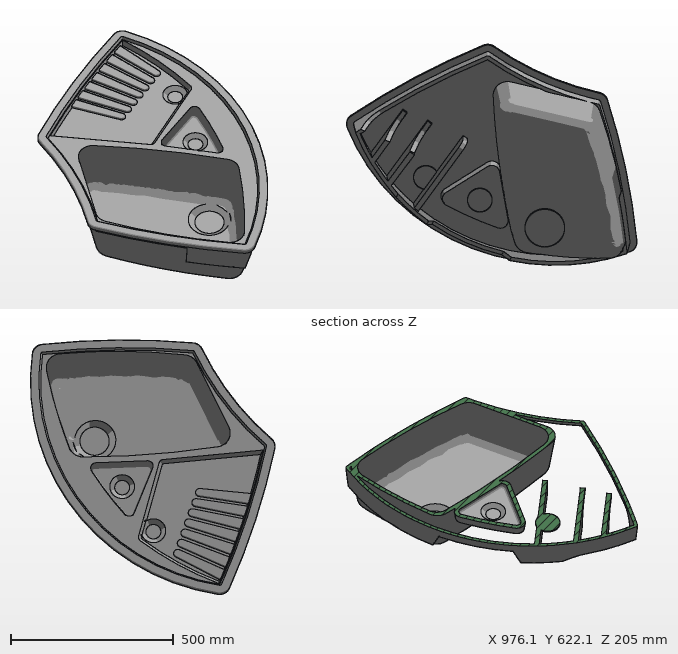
import cadquery as cq
import math


rim_half_width = 496.2
rim_side_y = 99.0
rim_front_half_width = 197.0
rim_front_y = -313.9
rim_back_rise = 212.5
rim_side_bulge = 14.0
rim_front_bulge = -22.0
rim_corner_radius = 33.0
rim_thickness = 13.0
rim_edge_radius = 5.0
rim_width = 26.0

deck_depth = 8.0
deck_taper = 35.0
deck_underside = -34.0
deck_overlap = 1.0

skirt_inset = 20.0
skirt_wall = 12.0
skirt_taper = 5.0
front_skirt_z = -46.0
left_skirt_z = -98.0
deep_skirt_z = -118.0
back_skirt_z = -64.0
left_skirt_x = -330.0
deep_skirt_x = -262.0
deep_skirt_end_x = 140.0
back_skirt_start_x = 118.0
ramp_top_y = 11.0
ramp_bottom_y = 78.0
left_part_end_x = 125.0
right_foot_end_y = -60.0

rib_width = 16.0
short_rib_xs = (-344.0, -260.0)
long_rib_x = -140.0
rib_angle = 10.0
long_rib_z = -92.0
rib_end_y = -15.0
long_rib_end_radius = 24.0

tray_floor_z = -20.0
tray_taper = 25.0
tray_edge_taper = 40.0
tray_margin = 8.0
tray_corner_radius = 14.0
tray_corners = [(-470, 84), (-190, 210), (-28, 5), (-196, -275), (-420, -275), (-540, 60)]
tray_bulges = [12.0, 0.0, 0.0, 0.0, 0.0, 0.0]

slat_count = 7
slat_height = 5.0
slat_taper = 25.0
slat_edge_radius = 1.5
slat_root_width = 36.0
slat_tip_width = 26.0
slat_first_line = ((-440.0, 65.0), (-298.0, 137.0))
slat_last_line = ((-305.0, -160.0), (-182.0, -33.0))

small_corners = [(-133, 193), (100, 193), (-22, 14)]
small_bulges = [6.0, 0.0, 0.0]
small_corner_radius = 18.0
small_floor_z = -50.0
small_taper = 8.0
small_floor_radius = 7.0

bowl_corners = [(138, 214), (453, 93), (178, -276), (-129, -217)]
bowl_bulges = [10.0, 14.0, 0.0, 12.0]
bowl_corner_radius = 45.0
bowl_taper = 5.0
bowl_floor_radius = 35.0
bowl_bottom_z = -198.0
bowl_slope_x = 0.8
bowl_slope_y = 0.9
bowl_wall = 13.5

waste_depth = 11.0
waste_floor = 8.0
waste_clearance = 2.0
small_waste_radius = 38.0
small_waste_floor_radius = 23.0
tray_waste_center = (-195.0, 154.0)
small_bowl_waste_center = (-18.0, 142.0)
bowl_waste_center = (182.0, 99.0)
bowl_waste_radius = 63.0
bowl_waste_floor_radius = 45.0
bowl_waste_ring_radius = 61.0
overall_height = 205.02

span = 1200.0


def sharp_outline(corners, bulges):
    """Closed wire through clockwise corners; a bulge is the outward rise of a side."""
    edges = []
    for i, start in enumerate(corners):
        a = cq.Vector(*start)
        b = cq.Vector(*corners[(i + 1) % len(corners)])
        if bulges[i] == 0:
            edges.append(cq.Edge.makeLine(a, b))
            continue
        side = b - a
        outward = cq.Vector(-side.y, side.x).normalized()
        edges.append(cq.Edge.makeThreePointArc(a, (a + b) * 0.5 + outward * bulges[i], b))
    return cq.Wire.assembleEdges(edges)


def outline(corners, bulges, radius):
    wire = sharp_outline(corners, bulges)
    return wire.fillet2D(radius, wire.Vertices())


def inset(wire, distance):
    return wire.offset2D(-distance)[0]


def prism(wire, top, bottom, taper=0.0):
    """Solid between two heights; it narrows downwards by the taper angle."""
    placed = cq.Workplane().add(wire.moved(cq.Location(cq.Vector(0, 0, top)))).toPending()
    return placed.extrude(bottom - top, taper=taper)


rim_outline = outline(
    [
        (-rim_half_width, rim_side_y),
        (rim_half_width, rim_side_y),
        (rim_front_half_width, rim_front_y),
        (-rim_front_half_width, rim_front_y),
    ],
    [rim_back_rise, rim_side_bulge, rim_front_bulge, rim_side_bulge],
    rim_corner_radius,
)
deck_outline = inset(rim_outline, rim_width)
skirt_outline = inset(rim_outline, skirt_inset)
small_outline = outline(small_corners, small_bulges, small_corner_radius)


def rib(x, bottom_z):
    return (
        cq.Workplane()
        .center(x, rib_end_y)
        .rect(rib_width, span, centered=(True, False))
        .extrude(bottom_z)
        .rotate((x, rib_end_y, 0), (x, rib_end_y, 1), rib_angle)
    )


def long_rib():
    plate = rib(long_rib_x, long_rib_z)
    return plate.faces("<Y").edges("<Z").fillet(long_rib_end_radius)


def skirt_profile_across():
    """Everything above the lower edge of the skirt, as it runs from left to right."""
    return (
        cq.Workplane("XZ", origin=(0, span / 2, 0))
        .moveTo(-span / 2, 0)
        .lineTo(-span / 2, left_skirt_z)
        .lineTo(left_skirt_x, left_skirt_z)
        .spline([(deep_skirt_x, deep_skirt_z)], tangents=[(1, 0), (1, -0.4)], includeCurrent=True)
        .lineTo(-deep_skirt_end_x, deep_skirt_z)
        .lineTo(-back_skirt_start_x, back_skirt_z)
        .lineTo(back_skirt_start_x, back_skirt_z)
        .lineTo(deep_skirt_end_x, deep_skirt_z)
        .lineTo(span / 2, deep_skirt_z)
        .lineTo(span / 2, 0)
        .close()
        .extrude(span)
    )


def skirt_profile_along():
    """Everything above the lower edge of the skirt, as it runs from front to back."""
    left_part = (
        cq.Workplane("YZ", origin=(-span / 2, 0, 0))
        .moveTo(-span / 2, 0)
        .lineTo(-span / 2, front_skirt_z)
        .lineTo(ramp_top_y, front_skirt_z)
        .spline([(ramp_bottom_y, left_skirt_z)], tangents=[(1, 0), (0.6, -1)], includeCurrent=True)
        .lineTo(ramp_bottom_y, deep_skirt_z)
        .lineTo(span / 2, deep_skirt_z)
        .lineTo(span / 2, 0)
        .close()
        .extrude(span / 2 + left_part_end_x)
    )
    right_foot = (
        cq.Workplane(origin=(left_part_end_x, right_foot_end_y, 0))
        .rect(span, span, centered=False)
        .extrude(deep_skirt_z)
    )
    right_front = (
        cq.Workplane(origin=(left_part_end_x, -span / 2, 0))
        .rect(span, span, centered=False)
        .extrude(front_skirt_z)
    )
    return left_part.union(right_foot.union(right_front))


def skirt():
    """Wall under the rim with deep feet at the back corners, and the ribs inside it."""
    body = prism(skirt_outline, 0, deep_skirt_z, skirt_taper)
    cavity = prism(inset(skirt_outline, skirt_wall), 0, deep_skirt_z, skirt_taper)
    walls = body.cut(cavity)
    for x in short_rib_xs:
        walls = walls.union(rib(x, deep_skirt_z).intersect(body))
    walls = walls.intersect(skirt_profile_across()).intersect(skirt_profile_along())
    return walls.union(long_rib().intersect(body))


def bowl(grow, raise_floor):
    """Tapered bowl volume on a floor that slopes towards the waste."""
    sharp = sharp_outline(bowl_corners, bowl_bulges)
    if grow:
        sharp = sharp.offset2D(grow, "intersection")[0]
    above_floor = (
        cq.Workplane()
        .box(span, span, span, centered=(True, True, False))
        .rotate((0, 0, 0), (0, 1, 0), bowl_slope_x)
        .rotate((0, 0, 0), (1, 0, 0), -bowl_slope_y)
        .translate((*bowl_waste_center, bowl_bottom_z + raise_floor))
    )
    column = prism(sharp, 0, -overall_height, bowl_taper)
    upright_edges = [edge for edge in column.edges().vals() if abs(edge.tangentAt(0.5).z) > 0.5]
    column = column.newObject(upright_edges).fillet(bowl_corner_radius)
    return column.intersect(above_floor).faces("<Z").edges().fillet(bowl_floor_radius)


def small_bowl():
    volume = prism(small_outline, 0, small_floor_z, small_taper)
    return volume.faces("<Z").edges().fillet(small_floor_radius)


def tray():
    area = prism(
        outline(tray_corners, tray_bulges, tray_corner_radius),
        -deck_depth,
        tray_floor_z,
        tray_edge_taper,
    )
    limit = prism(inset(deck_outline, tray_margin), -deck_depth, tray_floor_z, tray_taper)
    return area.intersect(limit)


def between(a, b, t):
    return cq.Vector(*a) * (1 - t) + cq.Vector(*b) * t


def slat(root, tip):
    """Raised slat that narrows from its root to a round tip."""
    along = (tip - root).normalized()
    across = cq.Vector(-along.y, along.x)
    root_side = across * (slat_root_width / 2)
    tip_side = across * (slat_tip_width / 2)
    root_left = root + root_side
    root_right = root - root_side
    tip_left = tip + tip_side
    tip_right = tip - tip_side
    tip_end = tip + along * (slat_tip_width / 2)
    return (
        cq.Workplane(origin=(0, 0, tray_floor_z))
        .moveTo(root_left.x, root_left.y)
        .lineTo(tip_left.x, tip_left.y)
        .threePointArc((tip_end.x, tip_end.y), (tip_right.x, tip_right.y))
        .lineTo(root_right.x, root_right.y)
        .close()
        .extrude(slat_height, taper=slat_taper)
    )


def slats():
    """Fan of slats on the floor of the tray."""
    fan = cq.Workplane()
    for i in range(slat_count):
        t = i / (slat_count - 1)
        root = between(slat_first_line[0], slat_last_line[0], t)
        tip = between(slat_first_line[1], slat_last_line[1], t)
        fan = fan.add(slat(root, tip))
    return fan.combine().faces(">Z").edges().fillet(slat_edge_radius)


def waste_seat(center, floor_z, radius, floor_radius):
    widening = (radius - floor_radius) / waste_depth
    height = waste_depth + waste_clearance
    seat = cq.Solid.makeCone(floor_radius, floor_radius + widening * height, height)
    return cq.Workplane(seat).translate((*center, floor_z - waste_depth))


def cylinder(center, radius, top, bottom):
    return cq.Workplane(origin=(*center, top)).circle(radius).extrude(bottom - top)


def small_waste_boss(center, floor_z):
    return cylinder(center, small_waste_radius, floor_z, floor_z - waste_depth - waste_floor)


def small_waste_seat(center, floor_z):
    return waste_seat(center, floor_z, small_waste_radius, small_waste_floor_radius)


rim = prism(rim_outline, 0, -rim_thickness).faces(">Z").edges().fillet(rim_edge_radius)
deck = prism(skirt_outline, 0, deck_underside, skirt_taper)
small_shell = prism(
    small_outline.offset2D(bowl_wall)[0],
    -deck_depth - deck_overlap,
    small_floor_z - bowl_wall,
    small_taper,
)
bowl_floor_z = bowl_bottom_z + bowl_wall
outside = (
    rim.union(deck)
    .union(skirt())
    .union(bowl(bowl_wall, 0))
    .union(cylinder(bowl_waste_center, bowl_waste_ring_radius, bowl_floor_z, -overall_height))
    .union(small_shell)
    .union(small_waste_boss(small_bowl_waste_center, small_floor_z))
    .union(small_waste_boss(tray_waste_center, tray_floor_z))
)

deck_recess = prism(deck_outline, 0, -deck_depth, deck_taper)
tray_recess = tray().cut(slats())
result = (
    outside.cut(deck_recess)
    .cut(tray_recess)
    .cut(small_bowl())
    .cut(bowl(0, bowl_wall))
    .cut(small_waste_seat(tray_waste_center, tray_floor_z))
    .cut(small_waste_seat(small_bowl_waste_center, small_floor_z))
    .cut(waste_seat(bowl_waste_center, bowl_floor_z, bowl_waste_radius, bowl_waste_floor_radius))
)